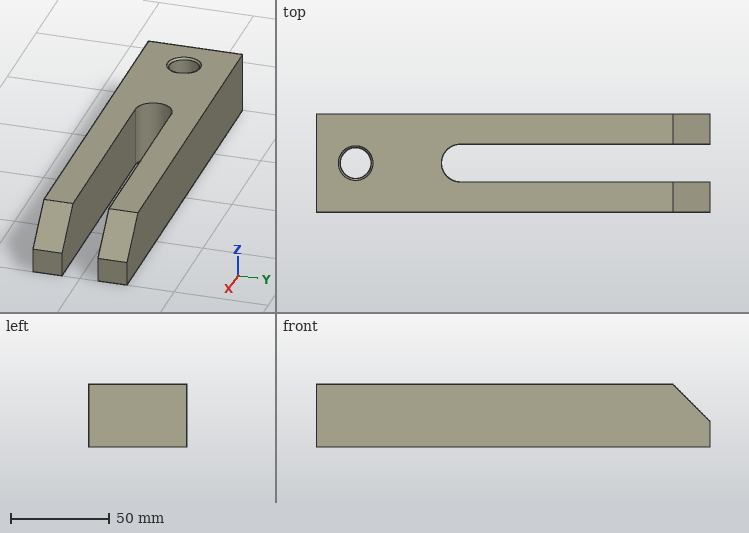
import cadquery as cq

length = 200.0
width = 50.0
height = 32.0

nose_chamfer = 19.0

slot_width = 19.0
slot_start = 63.5
slot_radius = slot_width / 2
slot_center_x = slot_start + slot_radius

hole_x = 20.0
hole_diameter = 15.5
hole_mouth_diameter = 17.5
hole_chamfer = (hole_mouth_diameter - hole_diameter) / 2


def make_bar():
    """Rectangular bar with the top edge of its fork end beveled."""
    bar = cq.Workplane("XY").box(length, width, height, centered=(False, True, False))
    return bar.faces(">X").edges(">Z").chamfer(nose_chamfer)


def make_slot():
    """Through slot with a round inner end, open at the fork end."""
    return (
        cq.Workplane("XY")
        .moveTo(length, -slot_radius)
        .lineTo(slot_center_x, -slot_radius)
        .threePointArc((slot_start, 0), (slot_center_x, slot_radius))
        .lineTo(length, slot_radius)
        .close()
        .extrude(height)
    )


def make_hole():
    """Through hole with a small chamfer at its upper mouth."""
    bore = cq.Workplane("XY").center(hole_x, 0).circle(hole_diameter / 2).extrude(height)
    countersink = cq.Solid.makeCone(
        hole_mouth_diameter / 2,
        hole_diameter / 2,
        hole_chamfer,
        pnt=cq.Vector(hole_x, 0, height),
        dir=cq.Vector(0, 0, -1),
    )
    return bore.union(cq.Workplane(obj=countersink))


result = make_bar().cut(make_slot()).cut(make_hole())